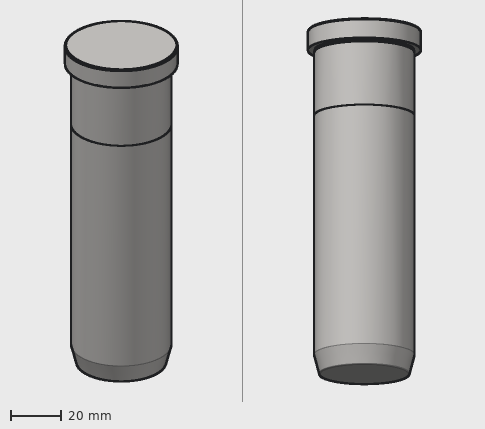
import cadquery as cq

total_length = 140.0
head_diameter = 45.0
head_height = 8.0
head_chamfer = 0.5
shank_diameter = 40.0
collar_length = 34.7
relief_height = 1.0
relief_depth = 0.3
tip_height = 8.0
tip_end_radius = 17.9
tip_edge_round = 0.4

head_radius = head_diameter / 2
shank_radius = shank_diameter / 2
relief_radius = shank_radius - relief_depth
head_bottom = total_length - head_height
relief_bottom = head_bottom - relief_height
joint_height = total_length - collar_length


def make_headed_collar():
    """Upper body: a chamfered head on a cylinder, with a relief groove between them."""
    profile = (
        cq.Workplane("XZ")
        .moveTo(0, joint_height)
        .lineTo(shank_radius, joint_height)
        .lineTo(shank_radius, relief_bottom)
        .lineTo(relief_radius, relief_bottom + relief_depth)
        .lineTo(relief_radius, head_bottom)
        .lineTo(head_radius, head_bottom)
        .lineTo(head_radius, total_length - head_chamfer)
        .lineTo(head_radius - head_chamfer, total_length)
        .lineTo(0, total_length)
        .close()
    )
    return profile.revolve(360, (0, 0, 0), (0, 1, 0))


def make_guide_shank():
    """Lower body: a plain cylinder ending in a conical tip with a rounded edge."""
    profile = (
        cq.Workplane("XZ")
        .moveTo(0, 0)
        .lineTo(tip_end_radius, 0)
        .lineTo(shank_radius, tip_height)
        .lineTo(shank_radius, joint_height)
        .lineTo(0, joint_height)
        .close()
    )
    shank = profile.revolve(360, (0, 0, 0), (0, 1, 0))
    return shank.faces("<Z").edges().fillet(tip_edge_round)


headed_collar = make_headed_collar()
guide_shank = make_guide_shank()

result = cq.Compound.makeCompound([headed_collar.val(), guide_shank.val()])